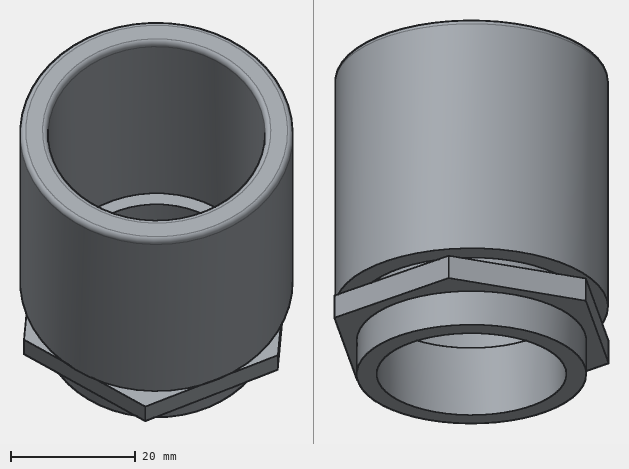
import cadquery as cq
import math

total_height = 53.0
sleeve_diameter = 44.0
neck_diameter = 37.0
neck_length = 12.0

socket_diameter = 35.0
passage_diameter = 30.6
socket_depth = total_height - neck_length
rim_radius = 0.9

nut_across_flats = 41.0
nut_height = 4.0
nut_bottom = 6.0
nut_turn = 5.6


def make_housing():
    """Sleeve on a narrower neck, with a stepped bore and a rounded top rim."""
    body = cq.Workplane("XY").circle(neck_diameter / 2).extrude(neck_length)
    body = body.faces(">Z").workplane().circle(sleeve_diameter / 2).extrude(total_height - neck_length)
    body = body.faces(">Z").workplane().circle(passage_diameter / 2).cutThruAll()
    body = body.faces(">Z").workplane().circle(socket_diameter / 2).cutBlind(-socket_depth)
    return body.faces(">Z").edges().fillet(rim_radius)


def make_locknut():
    """Flat hexagonal ring that fits closely around the neck."""
    corner_diameter = nut_across_flats / math.cos(math.pi / 6)
    return (
        cq.Workplane("XY", origin=(0, 0, nut_bottom))
        .transformed(rotate=(0, 0, 90 + nut_turn))
        .polygon(6, corner_diameter)
        .circle(neck_diameter / 2)
        .extrude(nut_height)
    )


housing = make_housing()
locknut = make_locknut()
result = cq.Compound.makeCompound([housing.val(), locknut.val()])